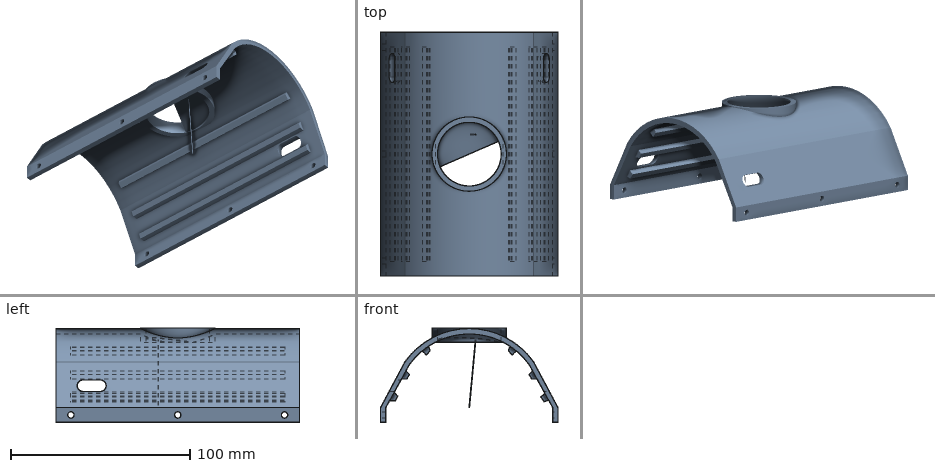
import cadquery as cq
import math

length = 136.0
width = 99.0
height = 52.6
wall = 3.0
flange_height = 8.2
crown_radius = 44.0
leg_top_height = 33.7

ring_outer_diameter = 41.5
ring_bore_diameter = 35.5
ring_bottom = 44.6

cover_thickness = 0.3
cover_edge_angle = 23.5
cover_tilt = 8.0
cover_overlap = 0.7
stalk_lean = 3.5
stalk_y = 10.9
stalk_diameter = 0.4

hole_diameter = 3.4
hole_height = 4.1
hole_pitch = 59.5
slot_length = 16.0
slot_height = 6.3
slot_center_y = 48.0
slot_center_z = 20.4

rib_length = 119.7
upper_rib = [(24.9, 42.2), (26.1, 39.7), (24.0, 37.4), (21.8, 40.0), (22.3, 41.8)]
middle_rib = [(37.8, 26.9), (37.8, 24.1), (34.8, 24.1), (33.3, 26.7), (35.2, 28.5)]
lower_left_rib = [(44.2, 15.0), (44.2, 12.0), (41.2, 12.0), (39.8, 14.5), (42.0, 17.0)]
lower_right_rib = [(44.2, 15.0), (44.2, 12.2), (41.8, 11.4), (39.8, 14.1), (42.2, 16.0)]
LEFT, RIGHT = -1, 1


def profile_extrusion(profile, depth):
    """Extrude an XZ profile symmetrically about the middle of the length."""
    return profile.extrude(depth / 2, both=True)


def make_shell():
    half_width = width / 2
    inner_half_width = half_width - wall
    inner_radius = crown_radius - wall
    leg_angle = math.asin((leg_top_height - flange_height) / crown_radius)
    outer_join_x = crown_radius * math.cos(leg_angle)
    inner_join_x = inner_radius * math.cos(leg_angle)
    inner_join_z = flange_height + inner_radius * math.sin(leg_angle)
    profile = (
        cq.Workplane("XZ")
        .moveTo(-half_width, 0)
        .lineTo(-half_width, flange_height)
        .lineTo(-outer_join_x, leg_top_height)
        .threePointArc((0, flange_height + crown_radius), (outer_join_x, leg_top_height))
        .lineTo(half_width, flange_height)
        .lineTo(half_width, 0)
        .lineTo(inner_half_width, 0)
        .lineTo(inner_half_width, flange_height)
        .lineTo(inner_join_x, inner_join_z)
        .threePointArc((0, flange_height + inner_radius), (-inner_join_x, inner_join_z))
        .lineTo(-inner_half_width, flange_height)
        .lineTo(-inner_half_width, 0)
        .close()
    )
    return profile_extrusion(profile, length)


def make_rib(section, side):
    corners = [(side * x, z) for x, z in section]
    return profile_extrusion(cq.Workplane("XZ").polyline(corners).close(), rib_length)


def neck_cylinder(diameter):
    return (
        cq.Workplane("XY")
        .workplane(offset=ring_bottom)
        .circle(diameter / 2)
        .extrude(height - ring_bottom)
    )


def make_cover():
    radius = ring_bore_diameter / 2 + cover_overlap
    return (
        cq.Workplane("XY")
        .workplane(offset=ring_bottom)
        .moveTo(radius, 0)
        .threePointArc((0, radius), (-radius, 0))
        .close()
        .extrude(cover_thickness)
        .rotate((0, 0, ring_bottom), (1, 0, ring_bottom), cover_tilt)
        .rotate((0, 0, 0), (0, 0, 1), cover_edge_angle)
    )


def make_stalk():
    """Thin rod from the height of the crown's arc centre up into the tilted cover."""
    edge_angle = math.radians(cover_edge_angle)
    from_edge = stalk_y * math.cos(edge_angle) - stalk_lean * math.sin(edge_angle)
    cover_rise = from_edge * math.tan(math.radians(cover_tilt))
    bottom = cq.Vector(0, stalk_y, flange_height)
    top = cq.Vector(stalk_lean, stalk_y, ring_bottom + cover_rise + cover_thickness / 2)
    axis = top - bottom
    return cq.Workplane(cq.Solid.makeCylinder(stalk_diameter / 2, axis.Length, bottom, axis))


def cut_side_openings(body):
    holes = (
        cq.Workplane("YZ")
        .pushPoints([(y, hole_height) for y in (-hole_pitch, 0, hole_pitch)])
        .circle(hole_diameter / 2)
        .extrude(width, both=True)
    )
    slots = (
        cq.Workplane("YZ")
        .center(slot_center_y, slot_center_z)
        .slot2D(slot_length, slot_height)
        .extrude(width, both=True)
    )
    return body.cut(holes).cut(slots)


body = make_shell()
for side, lower_rib in ((LEFT, lower_left_rib), (RIGHT, lower_right_rib)):
    for section in (upper_rib, middle_rib, lower_rib):
        body = body.union(make_rib(section, side))

body = body.union(neck_cylinder(ring_outer_diameter))
body = body.cut(neck_cylinder(ring_bore_diameter))
body = cut_side_openings(body)
result = body.union(make_cover()).union(make_stalk())